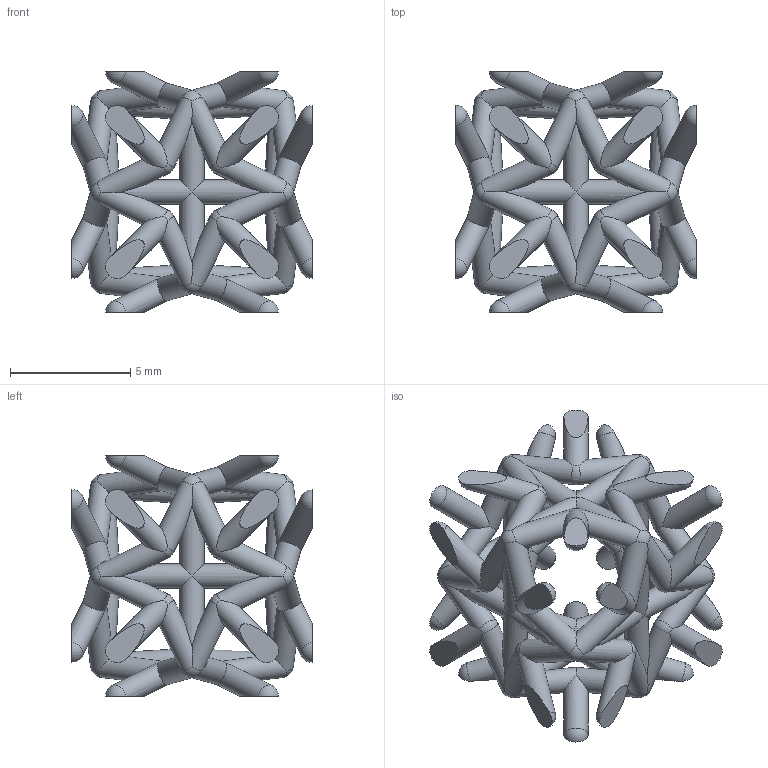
import cadquery as cq

cell_size = 10.0
strut_diameter = 1.0
edge_offset = 3.72
centre_offset = 3.5
inner_offset = 1.21
inner_height = 4.05
stub_offset = 3.1

half_cell = cell_size / 2
strut_radius = strut_diameter / 2
AXES = (0, 1, 2)
SIGNS = (1, -1)


def face_point(axis, side, u, v, height):
    """Point at the given height towards one cell face, offset sideways by u and v."""
    coordinates = [0.0] * len(AXES)
    coordinates[axis] = side * height
    coordinates[axis - 2] = u
    coordinates[axis - 1] = v
    return cq.Vector(*coordinates)


def strut(start, end):
    """Round bar between two nodes."""
    along = end - start
    return cq.Solid.makeCylinder(strut_radius, along.Length, start, along)


def ball(centre):
    """Ball that rounds the joint at a node."""
    return cq.Workplane(cq.Plane(centre.toTuple())).sphere(strut_radius).val()


def edge_balls(axis):
    """Balls at the four edge nodes that lie in the mid-plane square to one axis."""
    return [
        ball(face_point(axis, 1, u_sign * edge_offset, v_sign * edge_offset, 0))
        for u_sign in SIGNS
        for v_sign in SIGNS
    ]


def face_cross(axis, side):
    """Four bars from a face-centre node to the edge nodes around it."""
    centre = face_point(axis, side, 0, 0, centre_offset)
    bars = []
    for sign in SIGNS:
        reach = sign * edge_offset
        bars.append(strut(centre, face_point(axis, side, reach, 0, edge_offset)))
        bars.append(strut(centre, face_point(axis, side, 0, reach, edge_offset)))
    return bars + [ball(centre)]


def star_corner(axis, side, u_sign, v_sign):
    """Inner star node with two bars to edge nodes and a stub to the cell face."""
    inner = face_point(axis, side, u_sign * inner_offset, v_sign * inner_offset, inner_height)
    stub_end = face_point(axis, side, u_sign * stub_offset, v_sign * stub_offset, half_cell)
    u_edge = face_point(axis, side, u_sign * edge_offset, 0, edge_offset)
    v_edge = face_point(axis, side, 0, v_sign * edge_offset, edge_offset)
    bars = [strut(inner, end) for end in (u_edge, v_edge, stub_end)]
    return bars + [ball(inner), ball(stub_end)]


def face_star(axis, side):
    """Eight-bar star with four stubs, standing over one face cross."""
    pieces = []
    for u_sign in SIGNS:
        for v_sign in SIGNS:
            pieces += star_corner(axis, side, u_sign, v_sign)
    return pieces


lattice_pieces = []
for axis in AXES:
    lattice_pieces += edge_balls(axis)
    for side in SIGNS:
        lattice_pieces += face_cross(axis, side)
        lattice_pieces += face_star(axis, side)

lattice = lattice_pieces[0].fuse(*lattice_pieces[1:])

cell_box = cq.Workplane("XY").box(cell_size, cell_size, cell_size)
result = cell_box.intersect(cq.Workplane(lattice)).solids()